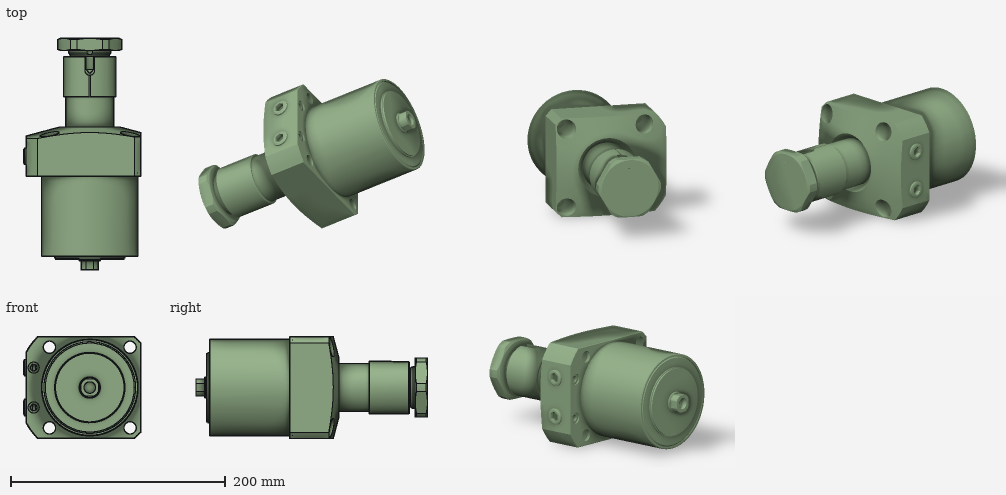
import cadquery as cq
import math


FLANGE_THICKNESS = 46.0
FLANGE_HALF_HEIGHT = 47.5
FLANGE_RIGHT = 47.5
FLANGE_LEFT = -59.5
FLANGE_TURNED_RADIUS = 68.0
FLANGE_CORNER_CHAMFER = 5.8
FLANGE_EDGE_CHAMFER = 0.5
CONE_FLAT_RADIUS = 28.0
CONE_ANGLE = 15.0
CYLINDER_RADIUS = 45.1
CYLINDER_LENGTH = 74.7
RIM_CHAMFER = 0.6
MOUNT_HOLE_RADIUS = 5.6
MOUNT_HOLE_OFFSET = 37.5
MOUNT_SEAT_RADIUS = 8.9
MOUNT_SEAT_Y = 3.0

PORT_OFFSET_Z = 18.5
PORT_X = -52.3
PORT_RADIUS = 3.0
SEAL_RADIUS = 5.2
SEAL_DEPTH = 1.5
SIDE_PORT_Y = 18.5
SIDE_BORE_RADIUS = 4.8
SIDE_BORE_END_X = -53.5
DRILL_RADIUS = 1.5
DRILL_END_X = -46.5

PLUG_PROTRUSION = 2.2
PLUG_BEVEL_LENGTH = 0.6
PLUG_RADIUS = 7.8
PLUG_FACE_RADIUS = 6.3
PLUG_SHANK_LENGTH = 3.5
PLUG_HEX_ACROSS_FLATS = 8.5
PLUG_HEX_DEPTH = 5.0

CAP_RADIUS = 42.8
CAP_THICKNESS = 10.8
CAP_CHAMFER = 1.3
BOSS_RADIUS = 32.8
BOSS_HEIGHT = 2.8
BOSS_STEP_HEIGHT = 1.3
BOSS_FACE_RADIUS = 32.0

SPINDLE_RADIUS = 8.9
SPINDLE_ACROSS_FLATS = 16.2
SPINDLE_LENGTH = 9.7
SPINDLE_BORE_RADIUS = 5.5
SPINDLE_BORE_DEPTH = 8.6
COLLAR_RADIUS = 10.0
COLLAR_HEIGHT = 1.5
COLLAR_CHAMFER = 0.6

ROD_RADIUS = 22.5
SPIGOT_RADIUS = 18.4
THREAD_RADIUS = 19.7
SHOULDER_Y = 73.9
UNDERCUT_END_Y = 113.0
THREAD_START_Y = 115.0

SLEEVE_RADIUS = 24.6
SLEEVE_LENGTH = 37.8
SLEEVE_CHAMFER = 0.6
GROOVE_WIDTH = 1.3
GROOVE_DEPTH = 1.5

KEY_CENTRE_Z = 22.0
KEY_HOLE_RADIUS = 3.5
KEY_SLOT_RADIUS = 4.5
KEY_END_Y = 99.4
KEY_SLOT_END_Y = 98.7

NUT_BOTTOM_Y = 117.0
NUT_THICKNESS = 11.7
NUT_ACROSS_FLATS = 55.3
NUT_CORNER_RADIUS = 30.0
NUT_FACE_RADIUS = 27.2
NUT_CHAMFER_HEIGHT = 1.3

CYLINDER_END_Y = -CYLINDER_LENGTH
CAP_TOP_Y = CYLINDER_END_Y + CAP_THICKNESS
BOSS_END_Y = CYLINDER_END_Y - BOSS_HEIGHT
SPINDLE_END_Y = BOSS_END_Y - SPINDLE_LENGTH
SLEEVE_TOP_Y = SHOULDER_Y + SLEEVE_LENGTH
NUT_TOP_Y = NUT_BOTTOM_Y + NUT_THICKNESS


def turned(profile):
    """Revolve a closed (radius, y) profile about the Y axis."""
    return cq.Workplane("XY").polyline(profile).close().revolve(360, (0, 0, 0), (0, 1, 0))


def y_cylinder(radius, y_start, y_end, x=0.0, z=0.0):
    """Cylinder parallel to Y, from y_start up to y_end."""
    return cq.Workplane(
        cq.Solid.makeCylinder(radius, y_end - y_start, cq.Vector(x, y_start, z), cq.Vector(0, 1, 0))
    )


def x_cylinder(radius, x_start, x_end, y, z):
    """Cylinder parallel to X, from x_start to x_end."""
    return cq.Workplane(
        cq.Solid.makeCylinder(radius, x_end - x_start, cq.Vector(x_start, y, z), cq.Vector(1, 0, 0))
    )


def block(x_range, y_range, z_range):
    """Box given by its limits along each axis."""
    size = [high - low for low, high in (x_range, y_range, z_range)]
    corner = cq.Vector(x_range[0], y_range[0], z_range[0])
    return cq.Workplane(cq.Solid.makeBox(*size, corner))


def make_flange():
    plate = block(
        (FLANGE_LEFT, FLANGE_RIGHT),
        (0, FLANGE_THICKNESS),
        (-FLANGE_HALF_HEIGHT, FLANGE_HALF_HEIGHT),
    )
    plate = plate.edges("|Y and >X").chamfer(FLANGE_CORNER_CHAMFER)
    cone_drop = (FLANGE_TURNED_RADIUS - CONE_FLAT_RADIUS) * math.tan(math.radians(CONE_ANGLE))
    turned_envelope = turned([
        (0, 0),
        (FLANGE_TURNED_RADIUS, 0),
        (FLANGE_TURNED_RADIUS, FLANGE_THICKNESS - cone_drop),
        (CONE_FLAT_RADIUS, FLANGE_THICKNESS),
        (0, FLANGE_THICKNESS),
    ])
    return plate.intersect(turned_envelope).faces("<Y").edges().chamfer(FLANGE_EDGE_CHAMFER)


def make_port_cavity(z):
    """Port in the lower flange face, with a seal recess, meeting a stepped bore from the left side."""
    tip_length = PORT_RADIUS
    port = turned([
        (0, 0),
        (SEAL_RADIUS, 0),
        (SEAL_RADIUS, SEAL_DEPTH),
        (PORT_RADIUS, SEAL_DEPTH),
        (PORT_RADIUS, SIDE_PORT_Y),
        (0, SIDE_PORT_Y + tip_length),
    ]).translate((PORT_X, 0, z))
    side_bore = x_cylinder(SIDE_BORE_RADIUS, FLANGE_LEFT, SIDE_BORE_END_X, SIDE_PORT_Y, z)
    drill = x_cylinder(DRILL_RADIUS, SIDE_BORE_END_X, DRILL_END_X, SIDE_PORT_Y, z)
    return port.union(side_bore).union(drill)


def make_housing():
    cylinder = y_cylinder(CYLINDER_RADIUS, CYLINDER_END_Y, 0).faces("<Y").edges().chamfer(RIM_CHAMFER)
    housing = make_flange().union(cylinder)
    housing = housing.cut(y_cylinder(CAP_RADIUS, CYLINDER_END_Y, CAP_TOP_Y))
    rod_bore = turned([
        (0, 0),
        (ROD_RADIUS, 0),
        (ROD_RADIUS, FLANGE_THICKNESS - (CONE_FLAT_RADIUS - ROD_RADIUS)),
        (CONE_FLAT_RADIUS, FLANGE_THICKNESS),
        (0, FLANGE_THICKNESS),
    ])
    housing = housing.cut(rod_bore)
    for x in (-MOUNT_HOLE_OFFSET, MOUNT_HOLE_OFFSET):
        for z in (-MOUNT_HOLE_OFFSET, MOUNT_HOLE_OFFSET):
            housing = housing.cut(y_cylinder(MOUNT_HOLE_RADIUS, 0, MOUNT_SEAT_Y, x, z))
            housing = housing.cut(y_cylinder(MOUNT_SEAT_RADIUS, MOUNT_SEAT_Y, FLANGE_THICKNESS, x, z))
    for z in (-PORT_OFFSET_Z, PORT_OFFSET_Z):
        housing = housing.cut(make_port_cavity(z))
    return housing


def make_side_plug(z):
    """Socket plug: bevelled head on the left flange face and a short shank in the side bore."""
    outer_x = FLANGE_LEFT - PLUG_PROTRUSION
    bevel_x = outer_x + PLUG_BEVEL_LENGTH
    shank_end_x = FLANGE_LEFT + PLUG_SHANK_LENGTH
    plug = (
        cq.Workplane("XY")
        .polyline([
            (outer_x, 0),
            (outer_x, PLUG_FACE_RADIUS),
            (bevel_x, PLUG_RADIUS),
            (FLANGE_LEFT, PLUG_RADIUS),
            (FLANGE_LEFT, SIDE_BORE_RADIUS),
            (shank_end_x, SIDE_BORE_RADIUS),
            (shank_end_x, 0),
        ])
        .close()
        .revolve(360, (0, 0, 0), (1, 0, 0))
    )
    socket = (
        cq.Workplane("YZ", origin=(outer_x, 0, 0))
        .transformed(rotate=(0, 0, 90))
        .polygon(6, PLUG_HEX_ACROSS_FLATS / math.cos(math.pi / 6))
        .extrude(PLUG_HEX_DEPTH)
    )
    return plug.cut(socket).translate((0, SIDE_PORT_Y, z))


def make_end_cap():
    return turned([
        (SPINDLE_RADIUS, CAP_TOP_Y),
        (CAP_RADIUS, CAP_TOP_Y),
        (CAP_RADIUS, CYLINDER_END_Y + CAP_CHAMFER),
        (CAP_RADIUS - CAP_CHAMFER, CYLINDER_END_Y),
        (BOSS_RADIUS, CYLINDER_END_Y),
        (BOSS_RADIUS, CYLINDER_END_Y - BOSS_STEP_HEIGHT),
        (BOSS_FACE_RADIUS, CYLINDER_END_Y - BOSS_STEP_HEIGHT),
        (BOSS_FACE_RADIUS, BOSS_END_Y),
        (SPINDLE_RADIUS, BOSS_END_Y),
    ])


def make_spindle():
    """Hollow spindle seated in the cap, with a round collar and four flats on its outer end."""
    collar_end_y = BOSS_END_Y - COLLAR_HEIGHT
    collar = y_cylinder(COLLAR_RADIUS, collar_end_y, BOSS_END_Y).faces("<Y").edges().chamfer(COLLAR_CHAMFER)
    half_flats = SPINDLE_ACROSS_FLATS / 2
    square = block(
        (-half_flats, half_flats), (SPINDLE_END_Y, collar_end_y), (-half_flats, half_flats)
    )
    flatted_end = y_cylinder(SPINDLE_RADIUS, SPINDLE_END_Y, collar_end_y).intersect(square)
    shank = y_cylinder(SPINDLE_RADIUS, BOSS_END_Y, CAP_TOP_Y)
    bore = y_cylinder(SPINDLE_BORE_RADIUS, SPINDLE_END_Y, SPINDLE_END_Y + SPINDLE_BORE_DEPTH)
    return shank.union(collar).union(flatted_end).cut(bore)


def make_key_hole():
    """Round keyway with a drilled, 90 degree conical lower end, open towards the nut."""
    return turned([
        (0, KEY_END_Y - KEY_HOLE_RADIUS),
        (KEY_HOLE_RADIUS, KEY_END_Y),
        (KEY_HOLE_RADIUS, NUT_TOP_Y),
        (0, NUT_TOP_Y),
    ]).translate((0, 0, KEY_CENTRE_Z))


def make_rod():
    rod = turned([
        (0, 0),
        (ROD_RADIUS, 0),
        (ROD_RADIUS, SHOULDER_Y),
        (SPIGOT_RADIUS, SHOULDER_Y),
        (SPIGOT_RADIUS, UNDERCUT_END_Y),
        (THREAD_RADIUS, THREAD_START_Y),
        (THREAD_RADIUS, NUT_TOP_Y),
        (0, NUT_TOP_Y),
    ])
    return rod.cut(make_key_hole())


def make_sleeve():
    """Sleeve around the rod spigot, with a round-ended key slot and a shallow groove below it."""
    sleeve = y_cylinder(SLEEVE_RADIUS, SHOULDER_Y, SLEEVE_TOP_Y).faces("<Y or >Y").edges()
    sleeve = sleeve.chamfer(SLEEVE_CHAMFER)
    sleeve = sleeve.cut(y_cylinder(SPIGOT_RADIUS, SHOULDER_Y, SLEEVE_TOP_Y))
    slot_end = (
        cq.Workplane("XY", origin=(0, KEY_SLOT_END_Y, KEY_CENTRE_Z))
        .circle(KEY_SLOT_RADIUS)
        .extrude(SLEEVE_RADIUS - KEY_CENTRE_Z)
    )
    slot = block(
        (-KEY_SLOT_RADIUS, KEY_SLOT_RADIUS), (KEY_SLOT_END_Y, SLEEVE_TOP_Y), (KEY_CENTRE_Z, SLEEVE_RADIUS)
    )
    groove = block(
        (-GROOVE_WIDTH / 2, GROOVE_WIDTH / 2),
        (SHOULDER_Y, KEY_SLOT_END_Y),
        (SLEEVE_RADIUS - GROOVE_DEPTH, SLEEVE_RADIUS),
    )
    return sleeve.cut(slot).cut(slot_end).cut(groove).cut(make_key_hole())


def make_nut():
    hexagon = (
        cq.Workplane("XZ", origin=(0, NUT_TOP_Y, 0))
        .polygon(6, NUT_ACROSS_FLATS / math.cos(math.pi / 6))
        .extrude(NUT_THICKNESS)
    )
    rounded_envelope = turned([
        (0, NUT_BOTTOM_Y),
        (NUT_FACE_RADIUS, NUT_BOTTOM_Y),
        (NUT_CORNER_RADIUS, NUT_BOTTOM_Y + NUT_CHAMFER_HEIGHT),
        (NUT_CORNER_RADIUS, NUT_TOP_Y - NUT_CHAMFER_HEIGHT),
        (NUT_FACE_RADIUS, NUT_TOP_Y),
        (0, NUT_TOP_Y),
    ])
    nut = hexagon.intersect(rounded_envelope)
    return nut.cut(y_cylinder(THREAD_RADIUS, NUT_BOTTOM_Y, NUT_TOP_Y))


housing = make_housing()
end_cap = make_end_cap()
spindle = make_spindle()
rod = make_rod()
sleeve = make_sleeve()
nut = make_nut()
side_plugs = [make_side_plug(z) for z in (-PORT_OFFSET_Z, PORT_OFFSET_Z)]

result = cq.Compound.makeCompound([
    housing.val(),
    end_cap.val(),
    spindle.val(),
    rod.val(),
    sleeve.val(),
    nut.val(),
    *[plug.val() for plug in side_plugs],
])